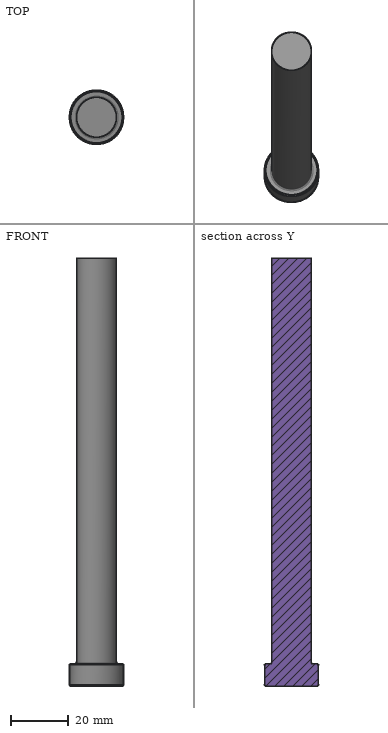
import cadquery as cq

TOTAL_LENGTH = 150.0
SHANK_DIAMETER = 14.0
HEAD_DIAMETER = 19.0
HEAD_HEIGHT = 8.0
HEAD_EDGE_CHAMFER = 0.5
NECK_FILLET = 0.5


def make_head():
    """Cylindrical head with its base on Z = 0 and both rims chamfered."""
    head = cq.Workplane("XY").circle(HEAD_DIAMETER / 2).extrude(HEAD_HEIGHT)
    return head.edges("%CIRCLE").chamfer(HEAD_EDGE_CHAMFER)


def make_shank():
    """Plain cylindrical shank running the full length along Z."""
    return cq.Workplane("XY").circle(SHANK_DIAMETER / 2).extrude(TOTAL_LENGTH)


def fillet_neck(pin):
    """Round the inside corner where the shank meets the top of the head."""
    neck_point = (SHANK_DIAMETER / 2, 0, HEAD_HEIGHT)
    shank_edges = pin.edges("%CIRCLE").edges(cq.selectors.RadiusNthSelector(0))
    return shank_edges.edges(cq.selectors.NearestToPointSelector(neck_point)).fillet(NECK_FILLET)


result = fillet_neck(make_head().union(make_shank()))